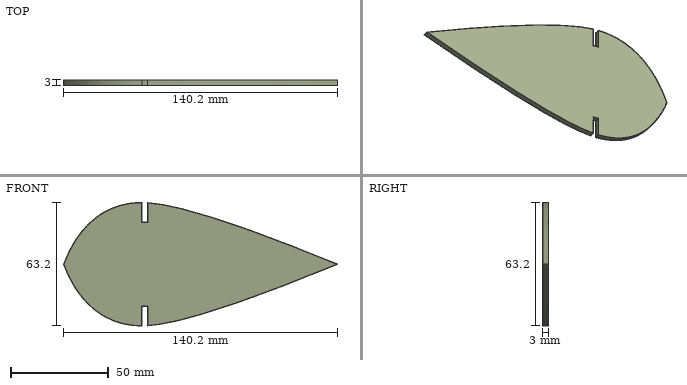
import cadquery as cq

LENGTH = 140.17
HEIGHT = 63.18
THICKNESS = 3.0

CREST_FROM_NOSE = 40.0

SLOT_WIDTH = 3.0
SLOT_DEPTH = 10.0

NOSE_HANDLE_X = 4.0
NOSE_HANDLE_Z = 11.0
CREST_FRONT_HANDLE = 25.0
CREST_REAR_HANDLE = 11.0
TAIL_HANDLE_X = 66.0
TAIL_SLOPE = 0.41

HALF_HEIGHT = HEIGHT / 2
NOSE_X = -LENGTH / 2
TAIL_X = LENGTH / 2
CREST_X = NOSE_X + CREST_FROM_NOSE


def edge_points(side):
    """Control points of the front and rear curves of one edge; side is +1 (upper) or -1 (lower)."""
    crest_z = side * HALF_HEIGHT
    nose = (NOSE_X, 0)
    crest = (CREST_X, crest_z)
    tail = (TAIL_X, 0)
    front = [
        nose,
        (NOSE_X + NOSE_HANDLE_X, side * NOSE_HANDLE_Z),
        (CREST_X - CREST_FRONT_HANDLE, crest_z),
        crest,
    ]
    rear = [
        crest,
        (CREST_X + CREST_REAR_HANDLE, crest_z),
        (TAIL_X - TAIL_HANDLE_X, side * TAIL_SLOPE * TAIL_HANDLE_X),
        tail,
    ]
    return front, rear


def make_plate():
    """Teardrop plate, mirrored about its long axis."""
    upper_front, upper_rear = edge_points(1)
    lower_front, lower_rear = edge_points(-1)
    return (
        cq.Workplane("XZ", origin=(0, THICKNESS / 2, 0))
        .moveTo(NOSE_X, 0)
        .bezier(upper_front)
        .bezier(upper_rear)
        .bezier(lower_rear[::-1])
        .bezier(lower_front[::-1])
        .close()
        .extrude(THICKNESS)
    )


def make_slot(side):
    """Cutter for one edge slot, open at the outer edge; side is +1 (upper) or -1 (lower)."""
    slot_x = CREST_X + SLOT_WIDTH / 2
    return cq.Workplane("XY").box(SLOT_WIDTH, THICKNESS, 2 * SLOT_DEPTH).translate(
        (slot_x, 0, side * HALF_HEIGHT)
    )


plate = make_plate()
for edge_side in (1, -1):
    plate = plate.cut(make_slot(edge_side))

result = plate